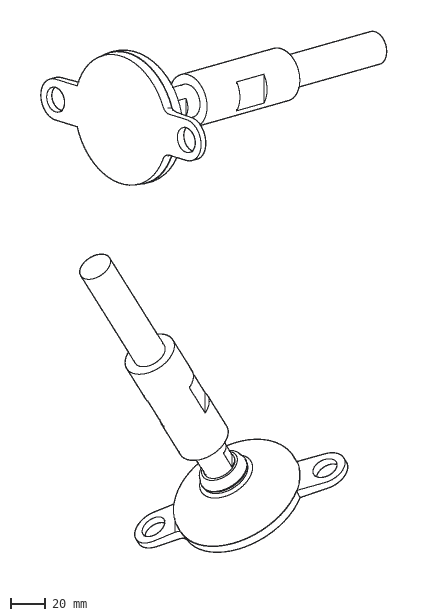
import cadquery as cq
import math

TOTAL_LENGTH = 206.5
TOTAL_WIDTH = 136.0

FOOT_RADIUS = 39.95
SOLE_RADIUS = 39.2
SOLE_TOP_RADIUS = 39.6
SOLE_HEIGHT = 6.0
RIM_HEIGHT = 8.7
RIM_ROUND = 7.8
CONE_TOP_RADIUS = 17.1
CONE_TOP_HEIGHT = 23.1
CONE_SLOPE = math.radians(23.0)
NECK_RADIUS = 14.7
NECK_FILLET_TOP = 24.4
NECK_TOP_HEIGHT = 25.6
NECK_FILLET_SAG = 0.5

LUG_END_RADIUS = 12.5
LUG_CENTER = TOTAL_WIDTH / 2 - LUG_END_RADIUS
LUG_HOLE_DIAMETER = 15.0
LUG_TIP_HEIGHT = 4.0
LUG_ROOT_FILLET = 5.8

ROD_RADIUS = 20.0 / 2
SLEEVE_RADIUS = 32.0 / 2
SLEEVE_START = 54.7
SLEEVE_LENGTH = 75.4
SLEEVE_FLAT_LENGTH = 22.0
SLEEVE_ACROSS_FLATS = 26.6
ROD_FLAT_START = 33.0
ROD_FLAT_LENGTH = 11.8
ROD_ACROSS_FLATS = 16.7
COLLAR_LIP_RADIUS = 15.0
COLLAR_LIP_HEIGHT = 26.6
COLLAR_SHOULDER_RADIUS = 14.0
COLLAR_SHOULDER_HEIGHT = 30.4
COLLAR_TOP_RADIUS = 11.5
COLLAR_TOP_HEIGHT = 32.5
COLLAR_ROUND_SAG = -0.3


def revolve_about_y(profile):
    return profile.close().revolve(360, (0, 0, 0), (0, 1, 0))


def make_foot_disc():
    """Round foot: drafted sole, rounded rim, sloping cone and a filleted neck."""
    round_center_radius = FOOT_RADIUS - RIM_ROUND

    def rim_point(angle):
        return (
            round_center_radius + RIM_ROUND * math.cos(angle),
            RIM_HEIGHT + RIM_ROUND * math.sin(angle),
        )

    rim_end_angle = math.pi / 2 - CONE_SLOPE
    profile = (
        cq.Workplane("XY")
        .lineTo(SOLE_RADIUS, 0)
        .lineTo(SOLE_TOP_RADIUS, SOLE_HEIGHT)
        .lineTo(FOOT_RADIUS, SOLE_HEIGHT)
        .lineTo(FOOT_RADIUS, RIM_HEIGHT)
        .threePointArc(rim_point(rim_end_angle / 2), rim_point(rim_end_angle))
        .lineTo(CONE_TOP_RADIUS, CONE_TOP_HEIGHT)
        .sagittaArc((NECK_RADIUS, NECK_FILLET_TOP), NECK_FILLET_SAG)
        .lineTo(NECK_RADIUS, NECK_TOP_HEIGHT)
        .lineTo(0, NECK_TOP_HEIGHT)
    )
    return revolve_about_y(profile)


def make_lug(side):
    """Round-ended lug on one side of the foot, thinning toward its tip."""
    outline = (
        cq.Workplane("XZ")
        .moveTo(0, -LUG_END_RADIUS)
        .lineTo(side * LUG_CENTER, -LUG_END_RADIUS)
        .threePointArc((side * TOTAL_WIDTH / 2, 0), (side * LUG_CENTER, LUG_END_RADIUS))
        .lineTo(0, LUG_END_RADIUS)
        .close()
        .extrude(-SOLE_HEIGHT)
    )
    taper = (
        cq.Workplane("XY")
        .lineTo(side * TOTAL_WIDTH / 2, 0)
        .lineTo(side * TOTAL_WIDTH / 2, LUG_TIP_HEIGHT)
        .lineTo(side * SOLE_RADIUS, SOLE_HEIGHT)
        .lineTo(0, SOLE_HEIGHT)
        .close()
        .extrude(LUG_END_RADIUS, both=True)
    )
    return outline.intersect(taper)


def make_root_fillets():
    """Concave webs blending both edges of the +X lug into the sole."""
    round_z = LUG_END_RADIUS + LUG_ROOT_FILLET
    round_x = math.sqrt((SOLE_RADIUS + LUG_ROOT_FILLET) ** 2 - round_z**2)
    touch_ratio = SOLE_RADIUS / (SOLE_RADIUS + LUG_ROOT_FILLET)
    touch_x = round_x * touch_ratio
    touch_z = round_z * touch_ratio
    web = (
        cq.Workplane("XZ")
        .moveTo(0, 0)
        .lineTo(round_x, 0)
        .lineTo(round_x, round_z)
        .lineTo(touch_x, touch_z)
        .close()
        .extrude(-SOLE_HEIGHT)
    )
    cutter = (
        cq.Workplane("XZ").center(round_x, round_z).circle(LUG_ROOT_FILLET).extrude(-SOLE_HEIGHT)
    )
    upper_web = web.cut(cutter)
    return upper_web.union(upper_web.mirror("XY"))


def make_foot():
    foot = make_foot_disc().union(make_root_fillets())
    for side in (-1, 1):
        foot = foot.union(make_lug(side))
    lug_holes = (
        cq.Workplane("XZ")
        .pushPoints([(-LUG_CENTER, 0), (LUG_CENTER, 0)])
        .circle(LUG_HOLE_DIAMETER / 2)
        .extrude(-SOLE_HEIGHT)
    )
    return foot.cut(lug_holes)


def cut_wrench_flats(body, start, length, across_flats, radius):
    """Cut two parallel flats, facing -X and +X, into a round stretch of the body."""
    depth = radius - across_flats / 2
    for side in (-1, 1):
        cutter = cq.Workplane("XY").box(depth, length, 2 * radius).translate(
            (side * (across_flats + depth) / 2, start + length / 2, 0)
        )
        body = body.cut(cutter)
    return body


def make_stem():
    """Plain rod rising from a bell-shaped collar on the neck, with two wrench flats."""
    profile = (
        cq.Workplane("XY")
        .moveTo(0, NECK_TOP_HEIGHT)
        .lineTo(NECK_RADIUS, NECK_TOP_HEIGHT)
        .lineTo(COLLAR_LIP_RADIUS, COLLAR_LIP_HEIGHT)
        .lineTo(COLLAR_SHOULDER_RADIUS, COLLAR_SHOULDER_HEIGHT)
        .sagittaArc((COLLAR_TOP_RADIUS, COLLAR_TOP_HEIGHT), COLLAR_ROUND_SAG)
        .lineTo(ROD_RADIUS, COLLAR_TOP_HEIGHT)
        .lineTo(ROD_RADIUS, TOTAL_LENGTH)
        .lineTo(0, TOTAL_LENGTH)
    )
    stem = revolve_about_y(profile)
    return cut_wrench_flats(stem, ROD_FLAT_START, ROD_FLAT_LENGTH, ROD_ACROSS_FLATS, ROD_RADIUS)


def make_sleeve():
    """Tubular sleeve fitted around the rod, with two wrench flats at mid length."""
    sleeve = (
        cq.Workplane("XZ", origin=(0, SLEEVE_START, 0))
        .circle(SLEEVE_RADIUS)
        .circle(ROD_RADIUS)
        .extrude(-SLEEVE_LENGTH)
    )
    sleeve_flat_start = SLEEVE_START + (SLEEVE_LENGTH - SLEEVE_FLAT_LENGTH) / 2
    return cut_wrench_flats(
        sleeve, sleeve_flat_start, SLEEVE_FLAT_LENGTH, SLEEVE_ACROSS_FLATS, SLEEVE_RADIUS
    )


leveling_foot = make_foot().union(make_stem())
sleeve = make_sleeve()
result = cq.Compound.makeCompound([leveling_foot.val(), sleeve.val()])